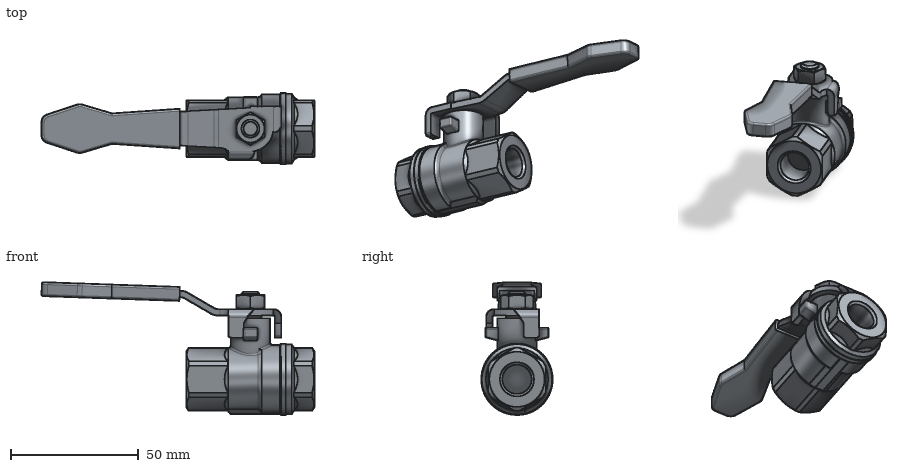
import cadquery as cq
import math


HEX_HALF_STEP = 30

BODY_HALF_LENGTH = 25.1
HEX_FLATS = 22.3
HEX_BLUNT_FLATS = 24.6
HEX_END_RADIUS = 10.8
HEX_END_CHAMFER = 1.2
HEX_END_CHAMFER_RISE = 1.8
BARREL_START = -8.8
BARREL_RADIUS = 24.7 / 2
STEP_START = 2.9
STEP_END = 4.5
SHELL_RADIUS = 27.0 / 2
SHELL_END = 11.4
COLLAR_START = 11.8
COLLAR_EDGE_RADIUS = 0.3
COLLAR_RADIUS = 28.0 / 2
COLLAR_SPLIT = 13.9
CAP_RADIUS = 27.5 / 2
CAP_END = 16.1
CAP_EDGE_RADIUS = 12.2
CAP_EDGE_END = 17.1
HEX_BLEND_LENGTH = 1.4

BORE_RADIUS = 11.4 / 2
BORE_MOUTH_RADIUS = 13.4 / 2
BORE_DEPTH = 12.8

RIB_BOTTOM = -13.6
RIB_ROOT = -11.8
RIB_HALF_WIDTH = 1.8
RIB_ROOT_HALF_WIDTH = 3.8
RIB_CHAMFER = 1.1

STEM_RADIUS = 15.5 / 2
STEM_TOP = 24.0
STEM_ROOT_FILLET = 0.9
STEM_ROOT_LOW = 6.4
STEM_ROOT_HIGH = 15.0
WASHER_RADIUS = 4.4

LUG_REACH = 12.4
LUG_HALF_WIDTH = 2.8
LUG_TOP = 20.2
LUG_BOTTOM = 16.5
LUG_ROOT_BOTTOM = 15.2
LUG_FILLET = 0.5

PLATE_THICKNESS = 2.6
PLATE_TOP = 27.5
PLATE_BOTTOM = PLATE_TOP - PLATE_THICKNESS
PLATE_RADIUS = 9.0
NECK_X = -12.0
NECK_HALF_WIDTH = 7.5
ARM_END_HALF_WIDTH = 6.3

TAB_FACE = 12.1
TAB_BOTTOM = 16.3
TAB_OUTER_EDGE = 8.7
TAB_INNER_EDGE = 2.6
TAB_SHOULDER = 22.0
TAB_SWEEP_POINT = (-1.0, 24.6)
TAB_PLATE_EDGE = 1.5
TAB_CORNER_RADIUS = 1.1
TAB_BEND_RADIUS = TAB_FACE - PLATE_RADIUS

ARM_ANGLE = 30.2
HANDLE_ANGLE = 2.0
ARM_LOW_BEND_X = -13.5
ARM_HIGH_BEND_X = -25.8
ARM_BEND_RADIUS = 3.4
ARM_RISE = (ARM_LOW_BEND_X - ARM_HIGH_BEND_X) * math.tan(math.radians(ARM_ANGLE))
HIGH_BEND = (ARM_HIGH_BEND_X, PLATE_TOP + ARM_RISE)
ARM_INSERT_LENGTH = 8.5

HANDLE_FRONT = -27.7
HANDLE_TIP = -81.8
HANDLE_THICKNESS = 5.6
HANDLE_FRONT_HALF_WIDTH = 7.8
HANDLE_WAIST_X = -54.3
HANDLE_WAIST_HALF_WIDTH = 6.0
HANDLE_BULGE_X = -66.9
HANDLE_BULGE_HALF_WIDTH = 9.7
HANDLE_TIP_HALF_WIDTH = 4.8
HANDLE_CORNER_RADIUS = 3.2
HANDLE_EDGE_FILLET = 0.9

NUT_FLATS = 11.1
NUT_TOP = 33.0
NUT_FACE_RADIUS = 5.5
NUT_CHAMFER = 0.5
STUD_RADIUS = 3.5
STUD_TOP = 34.3
STUD_CHAMFER = 0.9


def revolve_about_x(outline):
    """Revolve a closed outline, drawn as (x, radius), about the pipe axis."""
    return outline.close().revolve(360, (0, 0, 0), (1, 0, 0))


def hexagon_bar(flats, length, first_flat):
    """Hexagonal bar along X, centred, with a flat facing the angle first_flat about X."""
    corner_circle = flats / math.cos(math.radians(HEX_HALF_STEP))
    bar = cq.Workplane("YZ").polygon(6, corner_circle).extrude(length / 2, both=True)
    return bar.rotate((0, 0, 0), (1, 0, 0), first_flat + HEX_HALF_STEP)


def make_hexagon():
    length = 2 * BODY_HALF_LENGTH
    bar = hexagon_bar(HEX_FLATS, length, 0)
    bar = bar.intersect(hexagon_bar(HEX_BLUNT_FLATS, length, HEX_HALF_STEP))
    chamfer_end = BODY_HALF_LENGTH - HEX_END_CHAMFER
    chamfer_radius = HEX_END_RADIUS + HEX_END_CHAMFER_RISE
    envelope = revolve_about_x(
        cq.Workplane("XY")
        .moveTo(-BODY_HALF_LENGTH, 0)
        .lineTo(-BODY_HALF_LENGTH, HEX_END_RADIUS)
        .lineTo(-chamfer_end, chamfer_radius)
        .lineTo(chamfer_end, chamfer_radius)
        .lineTo(BODY_HALF_LENGTH, HEX_END_RADIUS)
        .lineTo(BODY_HALF_LENGTH, 0)
    )
    return bar.intersect(envelope)


def make_round_body():
    flat_radius = HEX_FLATS / 2
    return revolve_about_x(
        cq.Workplane("XY")
        .moveTo(BARREL_START - HEX_BLEND_LENGTH, 0)
        .lineTo(BARREL_START - HEX_BLEND_LENGTH, flat_radius)
        .lineTo(BARREL_START, BARREL_RADIUS)
        .lineTo(STEP_START, BARREL_RADIUS)
        .tangentArcPoint((STEP_END, SHELL_RADIUS), relative=False)
        .lineTo(SHELL_END, SHELL_RADIUS)
        .lineTo(COLLAR_START, COLLAR_RADIUS - COLLAR_EDGE_RADIUS)
        .radiusArc((COLLAR_START + COLLAR_EDGE_RADIUS, COLLAR_RADIUS), COLLAR_EDGE_RADIUS)
        .lineTo(COLLAR_SPLIT, COLLAR_RADIUS)
        .lineTo(COLLAR_SPLIT, CAP_RADIUS)
        .lineTo(CAP_END, CAP_RADIUS)
        .lineTo(CAP_EDGE_END, CAP_EDGE_RADIUS)
        .lineTo(CAP_EDGE_END + HEX_BLEND_LENGTH, flat_radius)
        .lineTo(CAP_EDGE_END + HEX_BLEND_LENGTH, 0)
    )


def make_rib():
    section = [
        (-RIB_ROOT_HALF_WIDTH, RIB_ROOT),
        (-RIB_HALF_WIDTH, RIB_BOTTOM),
        (RIB_HALF_WIDTH, RIB_BOTTOM),
        (RIB_ROOT_HALF_WIDTH, RIB_ROOT),
    ]
    rib = (
        cq.Workplane("YZ", origin=(BARREL_START, 0, 0))
        .polyline(section)
        .close()
        .extrude(COLLAR_START - BARREL_START)
    )
    return rib.edges("<X and <Z").chamfer(RIB_CHAMFER)


def make_bore():
    """Blind port with a chamfered mouth, at the -X end."""
    mouth_depth = BORE_MOUTH_RADIUS - BORE_RADIUS
    return revolve_about_x(
        cq.Workplane("XY")
        .moveTo(-BODY_HALF_LENGTH, 0)
        .lineTo(-BODY_HALF_LENGTH, BORE_MOUTH_RADIUS)
        .lineTo(-BODY_HALF_LENGTH + mouth_depth, BORE_RADIUS)
        .lineTo(-BODY_HALF_LENGTH + BORE_DEPTH, BORE_RADIUS)
        .lineTo(-BODY_HALF_LENGTH + BORE_DEPTH, 0)
    )


def make_body():
    body = make_round_body().union(make_hexagon())
    body = body.union(cq.Workplane("XY").circle(STEM_RADIUS).extrude(STEM_TOP))
    root_zone = cq.selectors.BoxSelector(
        (-STEM_RADIUS, -STEM_RADIUS, STEM_ROOT_LOW),
        (STEM_RADIUS, STEM_RADIUS, STEM_ROOT_HIGH),
    )
    return body.edges(root_zone).fillet(STEM_ROOT_FILLET)


def make_washer():
    return (
        cq.Workplane("XY", origin=(0, 0, STEM_TOP))
        .circle(WASHER_RADIUS)
        .extrude(PLATE_BOTTOM - STEM_TOP)
    )


def make_lugs():
    """Tapered lugs reaching through the stem tower to both sides."""
    outline = [
        (0, LUG_TOP),
        (LUG_REACH, LUG_TOP),
        (LUG_REACH, LUG_BOTTOM),
        (STEM_RADIUS, LUG_ROOT_BOTTOM),
        (0, LUG_ROOT_BOTTOM),
    ]
    lug = cq.Workplane("YZ").polyline(outline).close().extrude(LUG_HALF_WIDTH, both=True)
    lug = lug.edges("not <Y").edges("not (|X and (not >Y))").fillet(LUG_FILLET)
    return lug.union(lug.mirror("XZ"))


def make_tab():
    """Bent tab at the -Y side of the plate."""
    bend_height = PLATE_TOP - TAB_BEND_RADIUS
    inner_radius = TAB_BEND_RADIUS - PLATE_THICKNESS
    diagonal = math.sqrt(0.5)
    bend_y = -PLATE_RADIUS
    strip = (
        cq.Workplane("YZ", origin=(-TAB_OUTER_EDGE, 0, 0))
        .moveTo(0, PLATE_TOP)
        .lineTo(bend_y, PLATE_TOP)
        .threePointArc(
            (bend_y - TAB_BEND_RADIUS * diagonal, bend_height + TAB_BEND_RADIUS * diagonal),
            (-TAB_FACE, bend_height),
        )
        .lineTo(-TAB_FACE, TAB_BOTTOM)
        .lineTo(-TAB_FACE + PLATE_THICKNESS, TAB_BOTTOM)
        .lineTo(-TAB_FACE + PLATE_THICKNESS, bend_height)
        .threePointArc(
            (bend_y - inner_radius * diagonal, bend_height + inner_radius * diagonal),
            (bend_y, PLATE_BOTTOM),
        )
        .lineTo(0, PLATE_BOTTOM)
        .close()
        .extrude(2 * TAB_OUTER_EDGE)
    )
    outline = (
        cq.Workplane("XZ")
        .moveTo(-TAB_OUTER_EDGE, TAB_BOTTOM)
        .lineTo(-TAB_INNER_EDGE, TAB_BOTTOM)
        .lineTo(-TAB_INNER_EDGE, TAB_SHOULDER)
        .threePointArc(TAB_SWEEP_POINT, (TAB_PLATE_EDGE, PLATE_TOP))
        .lineTo(-TAB_OUTER_EDGE, PLATE_TOP)
        .close()
        .extrude(2 * TAB_FACE)
        .edges("|Y and <Z")
        .fillet(TAB_CORNER_RADIUS)
    )
    return strip.intersect(outline)


def mitre_below(corner, angle_in, angle_out):
    """Point under a top-surface corner, one sheet thickness away from both sheet directions."""
    middle = math.radians((angle_in + angle_out) / 2)
    half_turn = math.radians((angle_out - angle_in) / 2)
    reach = PLATE_THICKNESS / math.cos(half_turn)
    return (corner[0] - reach * math.sin(middle), corner[1] - reach * math.cos(middle))


def make_plate_and_arm():
    slope = math.radians(HANDLE_ANGLE)
    low_bend = (ARM_LOW_BEND_X, PLATE_TOP)
    arm_end = (
        HIGH_BEND[0] - ARM_INSERT_LENGTH * math.cos(slope),
        HIGH_BEND[1] + ARM_INSERT_LENGTH * math.sin(slope),
    )
    side = [
        (PLATE_RADIUS, PLATE_TOP),
        low_bend,
        HIGH_BEND,
        arm_end,
        mitre_below(arm_end, HANDLE_ANGLE, HANDLE_ANGLE),
        mitre_below(HIGH_BEND, ARM_ANGLE, HANDLE_ANGLE),
        mitre_below(low_bend, 0, ARM_ANGLE),
        (PLATE_RADIUS, PLATE_BOTTOM),
    ]
    strip = cq.Workplane("XZ").polyline(side).close().extrude(TAB_FACE, both=True)
    outer_radius = ARM_BEND_RADIUS + PLATE_THICKNESS
    for corner, radius in (
        (side[1], ARM_BEND_RADIUS),
        (side[6], outer_radius),
        (side[2], outer_radius),
        (side[5], ARM_BEND_RADIUS),
    ):
        strip = strip.edges(cq.NearestToPointSelector((corner[0], 0, corner[1]))).fillet(radius)

    diagonal = PLATE_RADIUS * math.sqrt(0.5)
    plan = (
        cq.Workplane("XY")
        .moveTo(arm_end[0], -ARM_END_HALF_WIDTH)
        .lineTo(NECK_X, -NECK_HALF_WIDTH)
        .tangentArcPoint((-TAB_OUTER_EDGE, -PLATE_RADIUS), relative=False)
        .lineTo(0, -PLATE_RADIUS)
        .threePointArc((diagonal, -diagonal), (PLATE_RADIUS, 0))
        .lineTo(PLATE_RADIUS, TAB_OUTER_EDGE)
        .lineTo(arm_end[0], ARM_END_HALF_WIDTH)
        .close()
        .extrude(STUD_TOP + HANDLE_THICKNESS)
    )
    return strip.intersect(plan)


def make_lever():
    tab = make_tab()
    far_tab = tab.mirror("YZ").rotate((0, 0, 0), (0, 0, 1), 90)
    return make_plate_and_arm().union(tab).union(far_tab)


def make_handle():
    """Sleeve built level at the arm height, then tilted about the upper arm bend."""
    half_outline = [
        (HANDLE_TIP, HANDLE_TIP_HALF_WIDTH),
        (HANDLE_BULGE_X, HANDLE_BULGE_HALF_WIDTH),
        (HANDLE_WAIST_X, HANDLE_WAIST_HALF_WIDTH),
        (HANDLE_FRONT, HANDLE_FRONT_HALF_WIDTH),
    ]
    mirrored = [(x, -y) for x, y in reversed(half_outline)]
    middle = HIGH_BEND[1] - PLATE_THICKNESS / 2
    handle = (
        cq.Workplane("XY", origin=(0, 0, middle))
        .polyline(half_outline + mirrored)
        .close()
        .extrude(HANDLE_THICKNESS / 2, both=True)
    )
    tip_corners = cq.selectors.BoxSelector(
        (HANDLE_TIP - HANDLE_CORNER_RADIUS, -2 * HANDLE_BULGE_HALF_WIDTH, 0),
        (HANDLE_BULGE_X + HANDLE_CORNER_RADIUS, 2 * HANDLE_BULGE_HALF_WIDTH, 2 * middle),
    )
    handle = handle.edges("|Z").edges(tip_corners).fillet(HANDLE_CORNER_RADIUS)
    handle = handle.faces("|Z").edges("not >X").fillet(HANDLE_EDGE_FILLET)
    pivot = (HIGH_BEND[0], 0, middle)
    return handle.rotate(pivot, (pivot[0], 1, pivot[2]), HANDLE_ANGLE)


def make_nut_and_stud():
    height = NUT_TOP - PLATE_TOP
    corner_radius = NUT_FLATS / 2 / math.cos(math.radians(HEX_HALF_STEP))
    hexagon = (
        cq.Workplane("XY", origin=(0, 0, PLATE_TOP))
        .polygon(6, 2 * corner_radius)
        .extrude(height)
        .rotate((0, 0, 0), (0, 0, 1), HEX_HALF_STEP)
    )
    envelope = (
        cq.Workplane("XY", origin=(0, 0, PLATE_TOP))
        .circle(corner_radius)
        .extrude(height)
        .edges()
        .chamfer(NUT_CHAMFER, corner_radius - NUT_FACE_RADIUS)
    )
    stud = (
        cq.Workplane("XY", origin=(0, 0, STEM_TOP))
        .circle(STUD_RADIUS)
        .extrude(STUD_TOP - STEM_TOP)
        .faces(">Z")
        .edges()
        .chamfer(STUD_CHAMFER)
    )
    return hexagon.intersect(envelope).union(stud)


bore = make_bore()
result = make_body()
for make_piece in (make_rib, make_lugs, make_washer, make_lever, make_handle, make_nut_and_stud):
    result = result.union(make_piece())
result = result.cut(bore).cut(bore.mirror("YZ"))